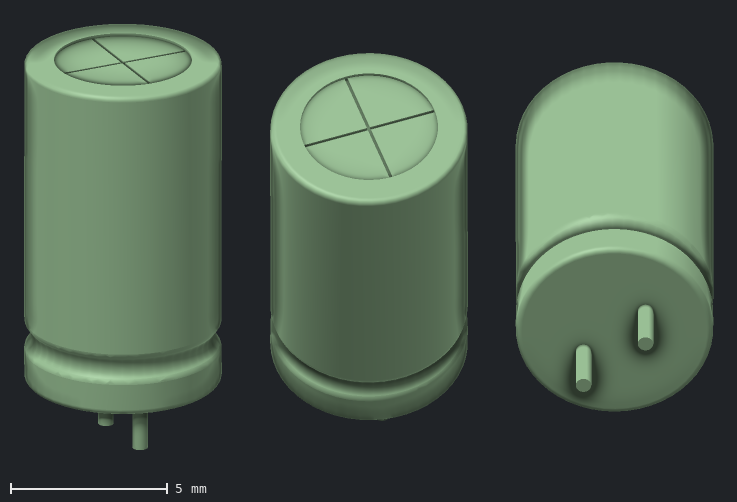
import cadquery as cq

total_height = 13.0
can_diameter = 6.3
can_bottom = 2.0
edge_radius = 0.2

groove_center = 3.59
groove_half_height = 0.42
groove_depth = 0.21
groove_lip_radius = 0.25

recess_diameter = 4.41
recess_depth = 0.1
score_width = 0.1
score_depth = 0.1

lead_diameter = 0.5
lead_pitch = 2.5
lead_shortening = 0.09
lead_embed = 0.13

can_radius = can_diameter / 2
recess_floor = total_height - recess_depth


def can_body():
    """Revolved can with a crimp groove and rounded rims."""
    body = (
        cq.Workplane("XZ")
        .moveTo(0, can_bottom)
        .lineTo(can_radius, can_bottom)
        .lineTo(can_radius, groove_center - groove_half_height)
        .threePointArc(
            (can_radius - groove_depth, groove_center),
            (can_radius, groove_center + groove_half_height),
        )
        .lineTo(can_radius, total_height)
        .lineTo(0, total_height)
        .close()
        .revolve(360, (0, 0, 0), (0, 1, 0))
    )
    groove_zone = cq.selectors.BoxSelector(
        (-can_diameter, -can_diameter, groove_center - 2 * groove_half_height),
        (can_diameter, can_diameter, groove_center + 2 * groove_half_height),
    )
    body = body.edges(groove_zone).edges("%CIRCLE").fillet(groove_lip_radius)
    return body.faces("<Z or >Z").edges().fillet(edge_radius)


def top_recess():
    """Round recess plus the crossed score grooves in its floor."""
    cutter = cq.Workplane("XY").workplane(offset=recess_floor)
    cutter = cutter.circle(recess_diameter / 2).extrude(recess_depth)
    for angle in (0, 90):
        score = (
            cq.Workplane("XY")
            .workplane(offset=recess_floor - score_depth)
            .rect(recess_diameter, score_width)
            .extrude(score_depth)
            .rotate((0, 0, 0), (0, 0, 1), angle)
        )
        cutter = cutter.union(score)
    return cutter


def lead(x, bottom):
    """Round lead from its tip up into the can base."""
    return (
        cq.Workplane("XY")
        .workplane(offset=bottom)
        .center(x, 0)
        .circle(lead_diameter / 2)
        .extrude(can_bottom + lead_embed - bottom)
    )


result = can_body().cut(top_recess())
result = result.union(lead(-lead_pitch / 2, 0)).union(lead(lead_pitch / 2, lead_shortening))